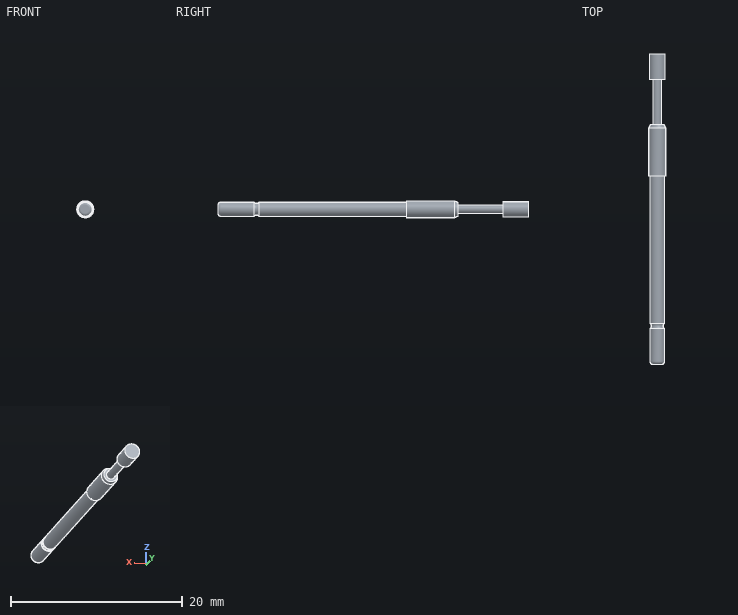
import cadquery as cq

total_length = 36.3

head_diameter = 1.8
rod_diameter = 1.0
collar_diameter = 2.0
collar_nose_diameter = 1.65
body_diameter = 1.7
groove_diameter = 1.4
groove_shoulder = 0.07

head_length = 3.0
rod_length = 5.23
collar_length = 6.03
collar_nose_length = 0.45
groove_width = 0.55
tail_length = 4.25
tail_round = 0.35

tail_end = -total_length / 2
head_end = total_length / 2
head_start = head_end - head_length
collar_end = head_start - rod_length
collar_start = collar_end - collar_length
groove_start = tail_end + tail_length
groove_end = groove_start + groove_width


def cylinder(diameter, start, end):
    """Solid cylinder about the Y axis between two Y positions."""
    return cq.Workplane("XZ", origin=(0, end, 0)).circle(diameter / 2).extrude(end - start)


def make_body():
    """Barrel with a rounded tail end."""
    return cylinder(body_diameter, tail_end, collar_start).faces("<Y").edges().fillet(tail_round)


def make_collar():
    """Press ring whose front edge tapers to a narrower nose."""
    shoulder = collar_end - collar_nose_length
    taper = (collar_diameter - collar_nose_diameter) / 2
    collar = cylinder(collar_diameter, collar_start, collar_end)
    return collar.faces(">Y").edges().chamfer(collar_nose_length, taper)


def make_groove():
    """Ring cut with two small square shoulders and a concave floor between them."""
    body_radius = body_diameter / 2
    shoulder_radius = body_radius - groove_shoulder
    floor_radius = groove_diameter / 2
    groove_middle = groove_start + groove_width / 2
    return (
        cq.Workplane("XY")
        .moveTo(body_radius, groove_start)
        .lineTo(shoulder_radius, groove_start)
        .threePointArc((floor_radius, groove_middle), (shoulder_radius, groove_end))
        .lineTo(body_radius, groove_end)
        .close()
        .revolve(360, (0, 0, 0), (0, 1, 0))
    )


rod = cylinder(rod_diameter, collar_end, head_start)
head = cylinder(head_diameter, head_start, head_end)
result = make_body().cut(make_groove()).union(make_collar()).union(rod).union(head)